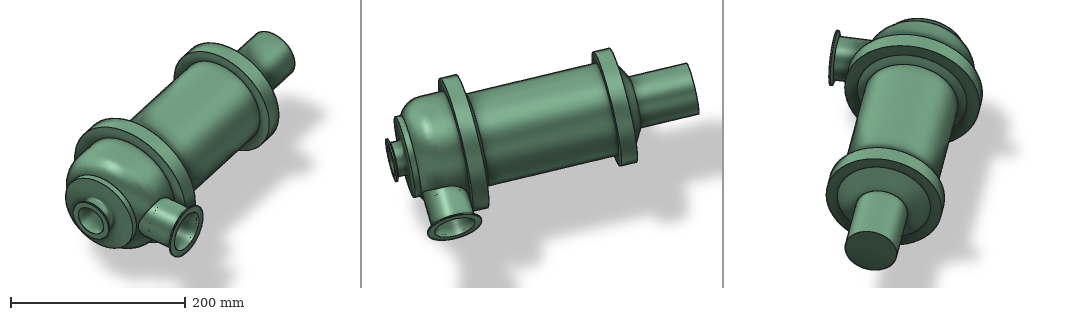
import cadquery as cq
import math


inlet_dia = 60.5
rear_flange_dia = 135.0
body_dia = 109.0
front_flange_dia = 157.5
dome_dia = 128.0
end_disc_dia = 95.52
neck_dia = 40.5
neck_ferrule_dia = 50.5
neck_bore_dia = 35.7

overall_length = 357.9
neck_length = 16.2
neck_fillet_radius = 4.0
end_disc_thickness = 7.1
dome_height = 26.4
dome_skirt_length = 27.2
flange_thickness = 19.0
body_length = 154.8

port_reach = 100.0
port_pipe_dia = 50.8
port_bore_dia = 47.8
port_ferrule_dia = 64.0

ferrule_rim_thickness = 1.8
ferrule_taper_angle = 20.0
shoulder_angle = 60.0


def cone_length(large_dia, small_dia):
    """Axial length of a conical shoulder between two diameters."""
    return (large_dia - small_dia) / 2 / math.tan(math.radians(shoulder_angle))


def ferrule_taper_length(ferrule_dia, pipe_dia):
    """Axial length of the tapered back of a clamp ferrule."""
    return (ferrule_dia - pipe_dia) / 2 * math.tan(math.radians(ferrule_taper_angle))


dome_front_y = -dome_height
disc_front_y = dome_front_y - end_disc_thickness
tip_y = disc_front_y - neck_length
front_flange_y = dome_skirt_length
front_cone_y = front_flange_y + flange_thickness
body_front_y = front_cone_y + cone_length(dome_dia, body_dia)
rear_flange_y = body_front_y + body_length
rear_cone_y = rear_flange_y + flange_thickness
inlet_front_y = rear_cone_y + cone_length(body_dia, inlet_dia)
inlet_end_y = tip_y + overall_length


def dome_mid_point():
    """Point (radius, y) halfway along the dome arc, which is tangent to the skirt."""
    radial_drop = (dome_dia - end_disc_dia) / 2
    arc_radius = (dome_height**2 + radial_drop**2) / (2 * radial_drop)
    half_sweep = math.asin(dome_height / arc_radius) / 2
    arc_center_radius = dome_dia / 2 - arc_radius
    return (
        arc_center_radius + arc_radius * math.cos(half_sweep),
        -arc_radius * math.sin(half_sweep),
    )


def make_housing():
    """Revolve the dome, flanges, body and rear inlet pipe about the Y axis."""
    profile = (
        cq.Workplane("XY")
        .moveTo(0, disc_front_y)
        .lineTo(end_disc_dia / 2, disc_front_y)
        .lineTo(end_disc_dia / 2, dome_front_y)
        .threePointArc(dome_mid_point(), (dome_dia / 2, 0))
        .lineTo(dome_dia / 2, front_flange_y)
        .lineTo(front_flange_dia / 2, front_flange_y)
        .lineTo(front_flange_dia / 2, front_cone_y)
        .lineTo(dome_dia / 2, front_cone_y)
        .lineTo(body_dia / 2, body_front_y)
        .lineTo(body_dia / 2, rear_flange_y)
        .lineTo(rear_flange_dia / 2, rear_flange_y)
        .lineTo(rear_flange_dia / 2, rear_cone_y)
        .lineTo(body_dia / 2, rear_cone_y)
        .lineTo(inlet_dia / 2, inlet_front_y)
        .lineTo(inlet_dia / 2, inlet_end_y)
        .lineTo(0, inlet_end_y)
        .close()
    )
    return profile.revolve(360, (0, 0, 0), (0, 1, 0))


def make_neck():
    """Revolve the front neck: root fillet, pipe and clamp ferrule."""
    rim_back_y = tip_y + ferrule_rim_thickness
    taper_end_y = rim_back_y + ferrule_taper_length(neck_ferrule_dia, neck_dia)
    fillet_mid_offset = neck_fillet_radius * (1 - math.sqrt(0.5))
    profile = (
        cq.Workplane("XY")
        .moveTo(0, tip_y)
        .lineTo(neck_ferrule_dia / 2, tip_y)
        .lineTo(neck_ferrule_dia / 2, rim_back_y)
        .lineTo(neck_dia / 2, taper_end_y)
        .lineTo(neck_dia / 2, disc_front_y - neck_fillet_radius)
        .threePointArc(
            (neck_dia / 2 + fillet_mid_offset, disc_front_y - fillet_mid_offset),
            (neck_dia / 2 + neck_fillet_radius, disc_front_y),
        )
        .lineTo(0, disc_front_y)
        .close()
    )
    return profile.revolve(360, (0, 0, 0), (0, 1, 0))


def make_side_port():
    """Revolve the side pipe and its clamp ferrule about the X axis."""
    rim_back_x = port_reach - ferrule_rim_thickness
    taper_start_x = rim_back_x - ferrule_taper_length(port_ferrule_dia, port_pipe_dia)
    profile = (
        cq.Workplane("XY")
        .lineTo(0, port_pipe_dia / 2)
        .lineTo(taper_start_x, port_pipe_dia / 2)
        .lineTo(rim_back_x, port_ferrule_dia / 2)
        .lineTo(port_reach, port_ferrule_dia / 2)
        .lineTo(port_reach, 0)
        .close()
    )
    return profile.revolve(360, (0, 0, 0), (1, 0, 0))


def make_neck_bore():
    """Blind bore from the front ferrule to the plane of the side port axis."""
    return cq.Workplane("XZ").circle(neck_bore_dia / 2).extrude(-tip_y)


def make_port_bore():
    """Blind bore from the side ferrule to the outer radius of the dome skirt."""
    bore_depth = port_reach - dome_dia / 2
    return (
        cq.Workplane("YZ", origin=(port_reach, 0, 0))
        .circle(port_bore_dia / 2)
        .extrude(-bore_depth)
    )


outer_shape = make_housing().union(make_neck()).union(make_side_port())
result = outer_shape.cut(make_neck_bore()).cut(make_port_bore())